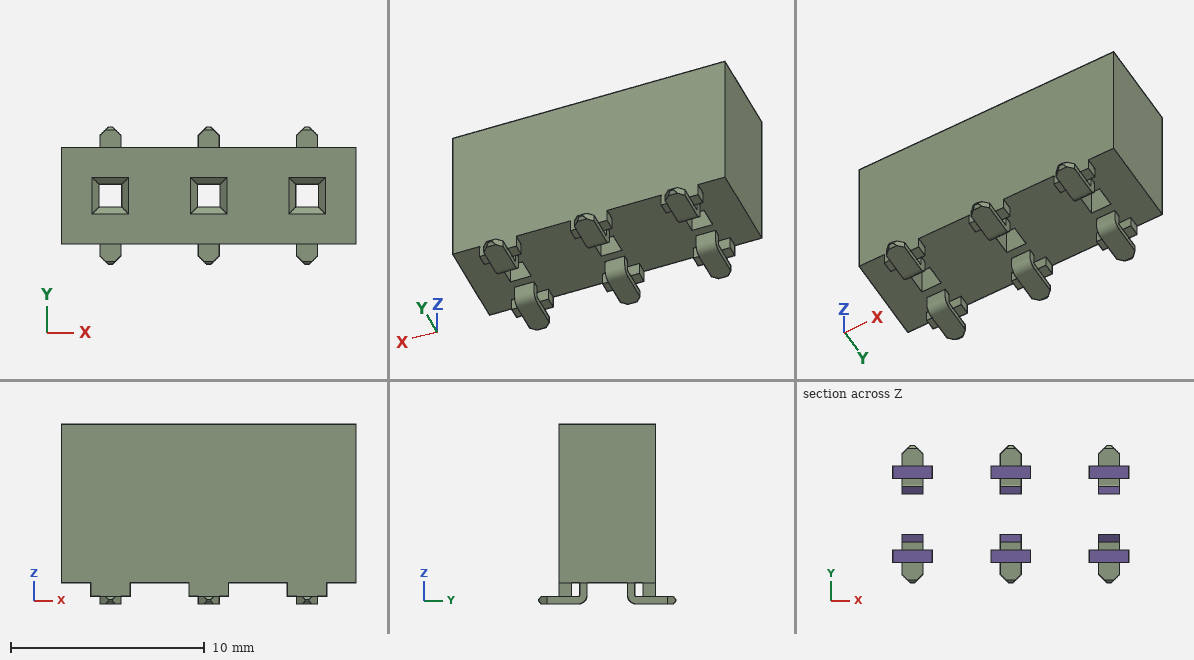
import cadquery as cq

length = 15.24
width = 5.0
body_height = 8.2
position_count = 3
pitch = length / position_count

foot_length = 2.05
foot_depth = 0.65
foot_height = 0.7

socket_size = 1.16
lead_in = 0.37

pin_width = 1.1
pin_thickness = 0.4
pin_span = 7.1
leg_inner_offset = 1.04
bend_inner_radius = 0.08
tip_side_chamfer = 0.44
tip_edge_chamfer = 0.15

body_bottom = pin_thickness + foot_height
body_top = body_bottom + body_height
position_xs = [(i - (position_count - 1) / 2) * pitch for i in range(position_count)]
pin_tip_offset = pin_span / 2


def make_socket(x):
    """Square through hole with a flared mouth, as a cutting solid."""
    shaft = (
        cq.Workplane("XY", origin=(x, 0, body_bottom))
        .rect(socket_size, socket_size)
        .extrude(body_height)
    )
    mouth_size = socket_size + 2 * lead_in
    mouth = (
        cq.Workplane("XY", origin=(x, 0, body_top - lead_in))
        .rect(socket_size, socket_size)
        .workplane(offset=lead_in)
        .rect(mouth_size, mouth_size)
        .loft(ruled=True)
    )
    return shaft.union(mouth)


def make_feet(x):
    """Two feet at one position, flush with the front and back faces."""
    foot_offset = (width - foot_depth) / 2
    return (
        cq.Workplane("XY", origin=(x, 0, pin_thickness))
        .pushPoints([(0, -foot_offset), (0, foot_offset)])
        .rect(foot_length, foot_depth)
        .extrude(foot_height)
    )


def make_housing():
    body = cq.Workplane("XY", origin=(0, 0, body_bottom)).rect(length, width).extrude(body_height)
    for x in position_xs:
        body = body.union(make_feet(x)).cut(make_socket(x))
    return body


def make_back_pin():
    """Pin at X = 0: a leg below the housing, a bend, and a foot with a pointed tip towards +Y."""
    leg_outer_offset = leg_inner_offset + pin_thickness
    bend_outer_radius = bend_inner_radius + pin_thickness
    edge_start = pin_tip_offset - tip_edge_chamfer
    profile = (
        cq.Workplane("YZ", origin=(-pin_width / 2, 0, 0))
        .moveTo(leg_inner_offset, body_bottom)
        .lineTo(leg_inner_offset, bend_outer_radius)
        .radiusArc((leg_inner_offset + bend_outer_radius, 0), -bend_outer_radius)
        .lineTo(edge_start, 0)
        .lineTo(pin_tip_offset, tip_edge_chamfer)
        .lineTo(pin_tip_offset, pin_thickness - tip_edge_chamfer)
        .lineTo(edge_start, pin_thickness)
        .lineTo(leg_outer_offset + bend_inner_radius, pin_thickness)
        .radiusArc((leg_outer_offset, bend_outer_radius), bend_inner_radius)
        .lineTo(leg_outer_offset, body_bottom)
        .close()
        .extrude(pin_width)
    )
    half_width = pin_width / 2
    half_tip = half_width - tip_side_chamfer
    shoulder = pin_tip_offset - tip_side_chamfer
    pointed_outline = (
        cq.Workplane("XY")
        .polyline([
            (-half_width, 0),
            (half_width, 0),
            (half_width, shoulder),
            (half_tip, pin_tip_offset),
            (-half_tip, pin_tip_offset),
            (-half_width, shoulder),
        ])
        .close()
        .extrude(body_bottom)
    )
    return profile.intersect(pointed_outline)


def make_pins():
    """One pin to the front and one to the back at every position."""
    back_pin = make_back_pin().val()
    front_pin = back_pin.mirror("XZ")
    pins = []
    for x in position_xs:
        for pin in (front_pin, back_pin):
            pins.append(pin.translate(cq.Vector(x, 0, 0)))
    return pins


housing = make_housing()
pins = make_pins()

result = cq.Compound.makeCompound([housing.val(), *pins])